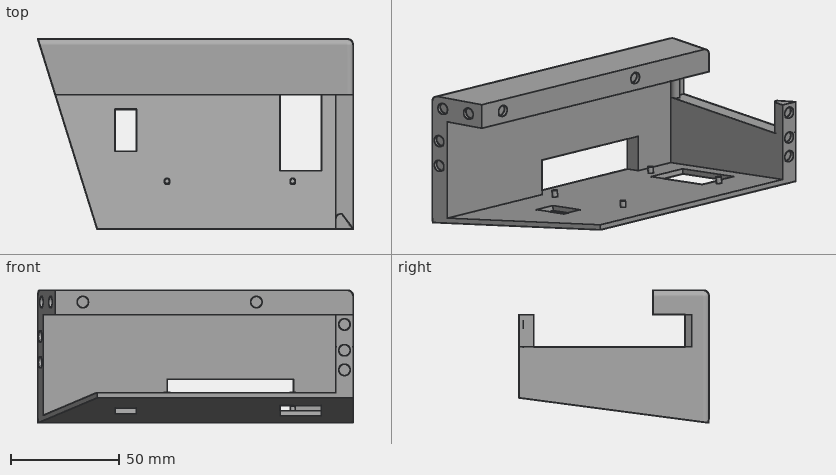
import cadquery as cq
import math

length = 146.0
depth = 88.0
height = 61.5
slant_run = 27.5

back_thickness = 8.0
side_thickness = 8.0
beam_depth = 26.0
beam_height = 11.4
side_height = 35.2
edge_radius = 2.9
floor_thickness = 2.5
floor_angle = 7.5

notch_front = 7.0
notch_back = 76.8
notch_throat_x = 140.7
notch_lip_radius = 2.0

floor_openings = [(35.8, 45.7, 36.0, 55.6), (112.1, 131.3, 27.0, 63.7)]
window_start = 60.0
window_end = 118.3
window_top = 20.1

pin_diameter = 2.5
pin_height = 2.9
pin_xs = (59.9, 118.0)
pin_ys = (21.9, 70.7)

pocket_diameter = 5.3
pocket_depth = 2.0
beam_axis_z = 55.9
beam_pocket_xs = (20.9, 101.2)
post_pocket_x = 141.9
post_pocket_zs = (24.5, 33.6, 45.5)
end_pockets = [(82.5, beam_axis_z), (69.0, beam_axis_z), (84.4, 40.0), (84.4, 28.0)]

slope = math.tan(math.radians(floor_angle))
floor_cos = math.cos(math.radians(floor_angle))
floor_sin = math.sin(math.radians(floor_angle))
bottom_back_y = depth - floor_thickness * floor_sin
beam_bottom = height - beam_height
back_inner_y = depth - back_thickness
side_inner_x = length - side_thickness


def floor_bottom(y):
    return (bottom_back_y - y) * slope


def floor_top(y):
    return floor_bottom(y) + floor_thickness / floor_cos


def side_profile(points, x_start=0.0):
    """Prism with a Y-Z outline, running from x_start to the right end."""
    outline = cq.Workplane("YZ", origin=(x_start, 0, 0)).polyline(points).close()
    return outline.extrude(length - x_start)


def make_frame():
    """Floor, back wall and overhanging beam in one profile, joined to the side wall."""
    bracket = side_profile([
        (0, floor_bottom(0)),
        (bottom_back_y, 0),
        (depth, floor_thickness * floor_cos),
        (depth, height),
        (depth - beam_depth, height),
        (depth - beam_depth, beam_bottom),
        (back_inner_y, beam_bottom),
        (back_inner_y, floor_top(back_inner_y)),
        (0, floor_top(0)),
    ])
    side = side_profile([
        (0, floor_bottom(0)),
        (bottom_back_y, 0),
        (depth, floor_thickness * floor_cos),
        (depth, beam_bottom),
        (0, beam_bottom),
    ], side_inner_x)
    return bracket.union(side.cut(make_notch()))


def make_notch():
    """Notch with rounded inner lips that flares out toward the right face."""
    lip = notch_lip_radius
    arc_inset = lip * (1 - math.sqrt(0.5))
    outline = (
        cq.Workplane("XY", origin=(0, 0, side_height))
        .moveTo(side_inner_x, notch_front - lip)
        .threePointArc(
            (side_inner_x + arc_inset, notch_front - arc_inset),
            (side_inner_x + lip, notch_front),
        )
        .lineTo(notch_throat_x, notch_front)
        .lineTo(length, 0)
        .lineTo(length, notch_back + notch_front)
        .lineTo(notch_throat_x, notch_back)
        .lineTo(side_inner_x + lip, notch_back)
        .threePointArc(
            (side_inner_x + arc_inset, notch_back + arc_inset),
            (side_inner_x, notch_back + lip),
        )
        .close()
    )
    return outline.extrude(beam_bottom - side_height)


def round_outer_edges(body):
    """Round the top back edge, the top right edge and the upright edge between them."""
    middle_x = length / 2
    beam_middle_y = depth - beam_depth / 2
    return body.edges(
        cq.selectors.NearestToPointSelector((middle_x, depth, height))
    ).add(
        body.edges(cq.selectors.NearestToPointSelector((length, beam_middle_y, height)))
    ).add(
        body.edges(cq.selectors.NearestToPointSelector((length, depth, height / 2)))
    ).fillet(edge_radius)


def cut_left_end(body):
    waste = (
        cq.Workplane("XY")
        .polyline([(0, depth), (slant_run, 0), (0, 0)])
        .close()
        .extrude(height)
    )
    return body.cut(waste)


def floor_plane(x, y):
    """Workplane on the floor top at (x, y), its normal square to the floor."""
    return cq.Workplane(cq.Plane(
        origin=(x, y, floor_top(y)), xDir=(1, 0, 0), normal=(0, floor_sin, floor_cos)
    ))


def cut_openings(body):
    for x_start, x_end, y_start, y_end in floor_openings:
        opening = (
            floor_plane((x_start + x_end) / 2, (y_start + y_end) / 2)
            .rect(x_end - x_start, (y_end - y_start) / floor_cos)
            .extrude(2 * floor_thickness, both=True)
        )
        body = body.cut(opening)
    window = side_profile([
        (back_inner_y, floor_top(back_inner_y)),
        (depth, floor_top(depth)),
        (depth, window_top),
        (back_inner_y, window_top),
    ]).intersect(
        cq.Workplane("XY").box(window_end - window_start, depth, height, centered=False)
        .translate((window_start, 0, 0))
    )
    return body.cut(window)


def add_pins(body):
    for x in pin_xs:
        for y in pin_ys:
            pin = floor_plane(x, y).workplane(offset=-floor_thickness / 2)
            body = body.union(pin.circle(pin_diameter / 2).extrude(pin_height + floor_thickness / 2))
    return body


def cut_pocket(body, centre, inward):
    pocket = cq.Solid.makeCylinder(
        pocket_diameter / 2, pocket_depth, cq.Vector(*centre), cq.Vector(*inward)
    )
    return body.cut(cq.Workplane(pocket))


def cut_pockets(body):
    for x in beam_pocket_xs:
        body = cut_pocket(body, (x, depth - beam_depth, beam_axis_z), (0, 1, 0))
    for z in post_pocket_zs:
        body = cut_pocket(body, (post_pocket_x, 0, z), (0, 1, 0))
    for y, z in end_pockets:
        x = slant_run * (depth - y) / depth
        body = cut_pocket(body, (x, y, z), (depth, slant_run, 0))
    return body


frame = cut_left_end(round_outer_edges(make_frame()))
result = cut_pockets(add_pins(cut_openings(frame)))